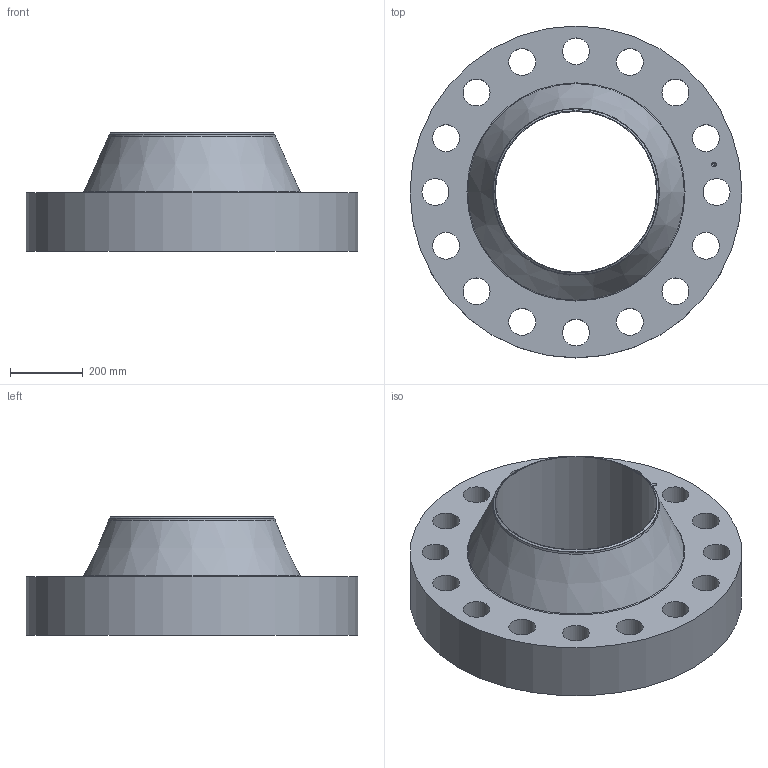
import cadquery as cq
import math

flange_diameter = 914.4
flange_thickness = 162.0
overall_height = 327.15
bore_diameter = 444.0

bolt_count = 16
bolt_hole_diameter = 74.0
bolt_circle_diameter = 774.7

hub_base_diameter = 597.0
hub_base_fillet = 3.0
neck_diameter = 457.0
neck_land = 7.2
neck_fillet = 14.0

root_face = 1.6
bevel_height = 3.8

spot_diameter = 6.0
spot_mouth_diameter = 13.0
spot_countersink_angle = 90
spot_depth = 12.0


def flange_ring():
    """Flat disc with its back face on Z = 0."""
    return cq.Workplane("XY").circle(flange_diameter / 2).extrude(flange_thickness)


def weld_neck():
    """Solid tapered hub, ending in a short cylindrical land and the weld bevel."""
    hub_radius = hub_base_diameter / 2
    neck_radius = neck_diameter / 2
    root_radius = bore_diameter / 2 + root_face
    profile = [
        (0, 0),
        (hub_radius, 0),
        (hub_radius, flange_thickness),
        (neck_radius, overall_height - neck_land),
        (neck_radius, overall_height - bevel_height),
        (root_radius, overall_height),
        (0, overall_height),
    ]
    return cq.Workplane("XZ").polyline(profile).close().revolve(360, (0, 0), (0, 1))


def cut_bore(body):
    """Straight bore through the flange and neck."""
    return body.cut(cq.Workplane("XY").circle(bore_diameter / 2).extrude(overall_height))


def circle_edge_at(body, radius, height):
    """Circular edge of the body with the given radius and height, centred on Z."""

    def matches(edge):
        box = edge.BoundingBox()
        tolerance = 0.01
        same_radius = abs(box.xmax - radius) < tolerance
        same_height = abs(box.zmin - height) < tolerance and abs(box.zmax - height) < tolerance
        return same_radius and same_height

    return body.edges("%CIRCLE").filter(matches)


def bolt_circle_point(angle):
    """Point on the bolt circle at an angle in degrees from +X."""
    radius = bolt_circle_diameter / 2
    return (radius * math.cos(math.radians(angle)), radius * math.sin(math.radians(angle)))


def drill_bolt_holes(body):
    """Through holes around the bolt circle, the first one on the +X axis."""
    pitch = 360 / bolt_count
    centres = [bolt_circle_point(index * pitch) for index in range(bolt_count)]
    holes = cq.Workplane("XY").pushPoints(centres).circle(bolt_hole_diameter / 2).extrude(flange_thickness)
    return body.cut(holes)


def drill_spot_hole(body):
    """Blind hole with a conical countersink, midway between the first two bolt holes."""
    half_pitch = 180 / bolt_count
    x, y = bolt_circle_point(half_pitch)
    mouth = body.copyWorkplane(cq.Workplane("XY", origin=(x, y, flange_thickness)))
    return mouth.cskHole(spot_diameter, spot_mouth_diameter, spot_countersink_angle, spot_depth)


body = flange_ring().union(weld_neck())
body = circle_edge_at(body, hub_base_diameter / 2, flange_thickness).fillet(hub_base_fillet)
body = circle_edge_at(body, neck_diameter / 2, overall_height - neck_land).fillet(neck_fillet)
body = cut_bore(body)
body = drill_bolt_holes(body)
result = drill_spot_hole(body)